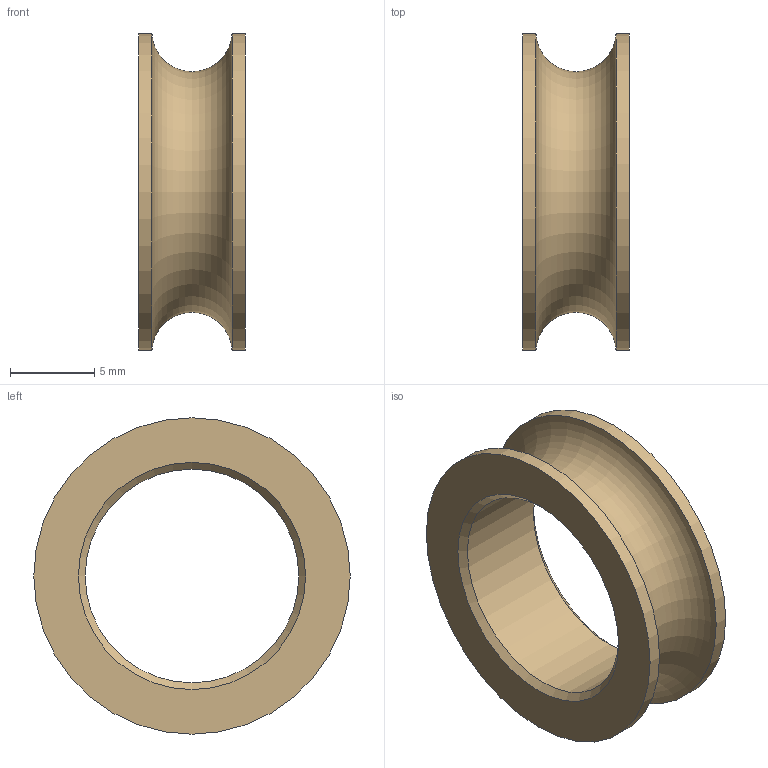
import cadquery as cq

width = 6.35
outer_diameter = 18.8
bore_diameter = 12.7
bore_chamfer = 0.4

groove_width = 4.76
groove_depth = 2.25

outer_radius = outer_diameter / 2
bore_radius = bore_diameter / 2
half_width = width / 2
half_groove = groove_width / 2
groove_floor_radius = outer_radius - groove_depth


def grooved_ring():
    """Revolve the half section, drawn with X along the axis and Y as radius."""
    section = (
        cq.Workplane("XY")
        .moveTo(-half_width, bore_radius + bore_chamfer)
        .lineTo(-half_width, outer_radius)
        .lineTo(-half_groove, outer_radius)
        .threePointArc((0, groove_floor_radius), (half_groove, outer_radius))
        .lineTo(half_width, outer_radius)
        .lineTo(half_width, bore_radius + bore_chamfer)
        .lineTo(half_width - bore_chamfer, bore_radius)
        .lineTo(-half_width + bore_chamfer, bore_radius)
        .close()
    )
    return section.revolve(360, (0, 0, 0), (1, 0, 0))


result = grooved_ring()